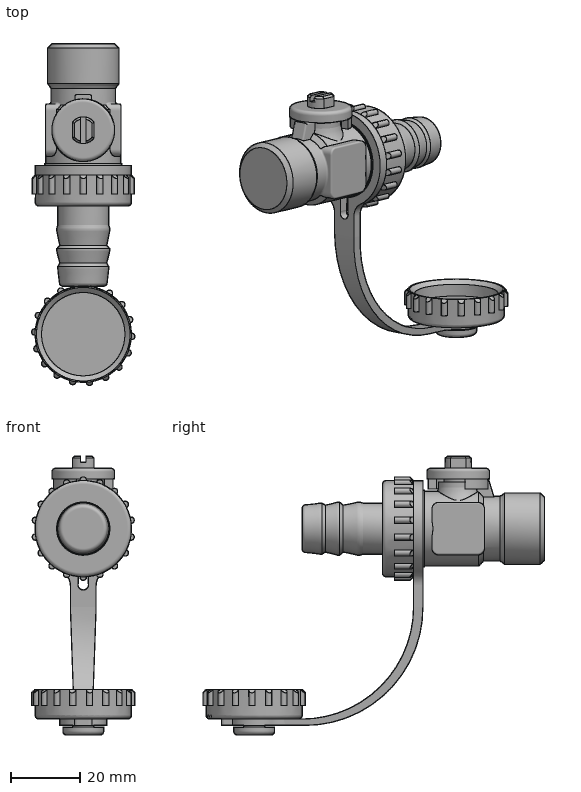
import cadquery as cq
import math


TOLERANCE = 0.01

GRIP_R = 14.0
GRIP_EDGE = 1.1
RIB_COUNT = 18
RIB_R = 0.94
RIB_CIRCLE_R = 14.1

RING_BACK_Y = -10.2
RING_T = 2.8
RING_FRONT_Y = RING_BACK_Y - RING_T

INLET_END_Y = 25.0
INLET_R = 10.4
INLET_CHAMFER = 1.3
INLET_BACK_Y = 13.5
INLET_CONE_Y = 12.8
INLET_CONE_R = 9.8
NECK_Y = 12.1
NECK_R = 9.4
BODY_CONE_Y = 7.3
BODY_Y = 5.9
BODY_R = 10.9
COLLAR_R = 11.2
COLLAR_T = 0.5

PAD_SPAN_X = 21.9
PAD_SIZE = 15.2
PAD_CORNER_R = 2.0
PAD_EDGE_R = 0.5
PAD_ROOT_R = 0.5

NUT_LENGTH = 9.0
NUT_RIB_LENGTH = 5.5
NUT_RIB_PHASE = 90
NUT_END_Y = RING_FRONT_Y - NUT_LENGTH

TAIL_R = 7.4
BARB_R = 7.7
LAST_BARB_R = 7.4
BARB_ROOT_R = 6.8
BARB_LAND = 0.6
BARB_1_Y = -28.5
BARB_2_Y = -34.35
BARB_3_Y = -39.5
BARB_RISE = 1.0
TAIL_END_Y = -45.2
TAIL_EDGE = 1.1

SEAT_R = 5.7
SEAT_TOP_Z = 13.6
SEAT_FLARE_Z = 11.9
SEAT_FOOT_R = 7.5
SEAT_FOOT_Z = 7.7
SEAT_FLARE_SAG = 0.3
STEM_R = 4.1
KNOB_R = 9.1
KNOB_BOTTOM_Z = 14.5
KNOB_TOP_Z = 17.5
KNOB_EDGE = 1.1
SKIRT_OUTER_R = 8.9
SKIRT_INNER_R = 6.5
SKIRT_DEPTH = 3.0
SKIRT_INSET = 2.0
KEY_R = 3.9
KEY_FLATS = 6.3
KEY_TOP_Z = 21.0
KEY_EDGE = 0.6
KEY_SLOT_W = 1.6
KEY_SLOT_DEPTH = 1.7

LUG_W = 4.8
LUG_FRONT_Y = 3.5
LUG_TOP_BACK_Y = 8.9
LUG_FOOT_BACK_Y = 10.3
LUG_TOP_Z = 14.1
LUG_EDGE_R = 0.5

LID_Y = -59.1
LID_TOP_Z = -46.5
LID_HEIGHT = 8.6
LID_RIB_LENGTH = 4.8
LID_RIB_PHASE = -2.6
LID_BORE_R = 12.1
LID_BORE_DEPTH = 4.7
LID_LIP_R = 13.6
LID_LIP_DEPTH = 1.2
LID_BOTTOM_Z = LID_TOP_Z - LID_HEIGHT

PLATE_T = 1.9
PLATE_R = 6.8
PLATE_BOTTOM_Z = LID_BOTTOM_Z - PLATE_T
PLATE_FILLET = 5.7
TAB_REACH = 9.5
TAB_CORNER_R = 1.0
RIVET_NECK_R = 3.1
RIVET_NECK_H = 0.5
RIVET_HEAD_R = 5.9
RIVET_HEAD_H = 2.3
RIVET_EDGE = 1.1

BEND_TOP_Z = -22.8
STRAP_HALF_W = 3.8
STRAP_END_HALF_W = 2.6
RING_FILLET = 4.4
SLOT_W = 2.8
SLOT_EYE_R = 1.5
SLOT_EYE_Z = -16.2


def grip_rim(height, rib_length, phase):
    """Ribbed disc about local Z, from z = -height (rounded edge) up to z = 0."""
    disc = cq.Workplane("XY").circle(GRIP_R).extrude(-height).faces("<Z").edges().fillet(GRIP_EDGE)
    ribs = (
        cq.Workplane("XY")
        .polarArray(RIB_CIRCLE_R, phase, 360, RIB_COUNT)
        .circle(RIB_R)
        .extrude(-rib_length)
    )
    rib_tip_r = RIB_CIRCLE_R + RIB_R
    sloped_tips = (
        cq.Workplane("XY").circle(rib_tip_r).extrude(-rib_length)
        .faces(">Z").edges().chamfer(rib_tip_r - GRIP_R)
    )
    return disc.union(ribs.intersect(sloped_tips))


def turned_body():
    """Inlet, neck, body and the core that carries the strap ring."""
    outline = [
        (0, INLET_END_Y),
        (INLET_R - INLET_CHAMFER, INLET_END_Y),
        (INLET_R, INLET_END_Y - INLET_CHAMFER),
        (INLET_R, INLET_BACK_Y),
        (INLET_CONE_R, INLET_CONE_Y),
        (NECK_R, NECK_Y),
        (NECK_R, BODY_CONE_Y),
        (BODY_R, BODY_Y),
        (BODY_R, RING_BACK_Y + COLLAR_T),
        (COLLAR_R, RING_BACK_Y + COLLAR_T),
        (COLLAR_R, RING_BACK_Y),
        (BODY_R, RING_BACK_Y),
        (BODY_R, RING_FRONT_Y),
        (0, RING_FRONT_Y),
    ]
    return cq.Workplane("XY").polyline(outline).close().revolve(360, (0, 0, 0), (0, 1, 0))


def side_pads():
    """Block across the body whose two ends are the flat pads."""
    return (
        cq.Workplane("XY")
        .box(PAD_SPAN_X, PAD_SIZE, PAD_SIZE)
        .edges("|X").fillet(PAD_CORNER_R)
        .faces("<X or >X").edges().fillet(PAD_EDGE_R)
    )


def body_with_pads():
    body = turned_body().union(side_pads())
    neck_arcs = body.edges("%CIRCLE").filter(lambda edge: abs(edge.Center().y - PAD_SIZE / 2) < TOLERANCE)
    return neck_arcs.fillet(PAD_ROOT_R)


def hose_tail():
    outline = [(0, NUT_END_Y), (TAIL_R, NUT_END_Y), (TAIL_R, BARB_1_Y + BARB_RISE)]
    for crest_y, crest_r, next_root_y in (
        (BARB_1_Y, BARB_R, BARB_2_Y + BARB_RISE),
        (BARB_2_Y, BARB_R, BARB_3_Y + BARB_RISE),
        (BARB_3_Y, LAST_BARB_R, TAIL_END_Y),
    ):
        outline.append((crest_r, crest_y))
        outline.append((crest_r, crest_y - BARB_LAND))
        outline.append((BARB_ROOT_R, next_root_y))
    outline.append((0, TAIL_END_Y))
    tail = cq.Workplane("XY").polyline(outline).close().revolve(360, (0, 0, 0), (0, 1, 0))
    return tail.faces("<Y").edges().fillet(TAIL_EDGE)


def knob_seat():
    """Flared seat on the body with the knob stem above it."""
    flare_mid = ((SEAT_R + SEAT_FOOT_R) / 2 - SEAT_FLARE_SAG, (SEAT_FLARE_Z + SEAT_FOOT_Z) / 2)
    return (
        cq.Workplane("XZ")
        .lineTo(SEAT_FOOT_R, 0)
        .lineTo(SEAT_FOOT_R, SEAT_FOOT_Z)
        .threePointArc(flare_mid, (SEAT_R, SEAT_FLARE_Z))
        .lineTo(SEAT_R, SEAT_TOP_Z)
        .lineTo(STEM_R, SEAT_TOP_Z)
        .lineTo(STEM_R, KNOB_BOTTOM_Z)
        .lineTo(0, KNOB_BOTTOM_Z)
        .close()
        .revolve(360, (0, 0, 0), (0, 1, 0))
    )


def knob_skirts():
    """Two stop skirts under the knob, in opposite quadrants."""
    ring = (
        cq.Workplane("XY", origin=(0, 0, KNOB_BOTTOM_Z - SKIRT_DEPTH))
        .circle(SKIRT_OUTER_R).circle(SKIRT_INNER_R).extrude(SKIRT_DEPTH)
    )
    centre = SKIRT_INSET + KNOB_R / 2
    quadrants = (
        cq.Workplane("XY")
        .pushPoints([(centre, centre), (-centre, -centre)])
        .rect(KNOB_R, KNOB_R)
        .extrude(KNOB_TOP_Z)
    )
    return ring.intersect(quadrants)


def knob():
    disc = (
        cq.Workplane("XY", origin=(0, 0, KNOB_BOTTOM_Z))
        .circle(KNOB_R).extrude(KNOB_TOP_Z - KNOB_BOTTOM_Z)
        .faces(">Z").edges().fillet(KNOB_EDGE)
    )
    key_height = KEY_TOP_Z - KNOB_TOP_Z
    key_base = cq.Workplane("XY", origin=(0, 0, KNOB_TOP_Z))
    key = key_base.circle(KEY_R).extrude(key_height)
    key = key.intersect(key_base.rect(KEY_FLATS, 2 * KEY_R).extrude(key_height))
    key = key.faces(">Z").edges().chamfer(KEY_EDGE)
    slot = (
        cq.Workplane("XY", origin=(0, 0, KEY_TOP_Z - KEY_SLOT_DEPTH))
        .rect(KEY_SLOT_W, 2 * KEY_R).extrude(KEY_SLOT_DEPTH)
    )
    return disc.union(key.cut(slot)).union(knob_skirts())


def stop_lug():
    return (
        cq.Workplane("YZ")
        .polyline([
            (LUG_FRONT_Y, 0),
            (LUG_FRONT_Y, LUG_TOP_Z),
            (LUG_TOP_BACK_Y, LUG_TOP_Z),
            (LUG_FOOT_BACK_Y, NECK_R),
            (LUG_FOOT_BACK_Y, 0),
        ])
        .close()
        .extrude(LUG_W / 2, both=True)
        .faces("<X or >X").edges().fillet(LUG_EDGE_R)
    )


def make_valve():
    nut = (
        grip_rim(NUT_LENGTH, NUT_RIB_LENGTH, NUT_RIB_PHASE)
        .rotate((0, 0, 0), (1, 0, 0), -90)
        .translate((0, RING_FRONT_Y, 0))
    )
    valve = body_with_pads()
    for feature in (nut, hose_tail(), knob_seat(), stop_lug(), knob()):
        valve = valve.union(feature)
    return valve


def strap_ring():
    """Ring with the root of the strap flared into it, as a plate in the XZ plane."""
    plane = cq.Workplane("XZ", origin=(0, RING_BACK_Y, 0))
    ring = plane.circle(GRIP_R).extrude(RING_T)
    flare_x = STRAP_HALF_W + RING_FILLET
    flare_z = -math.sqrt((GRIP_R + RING_FILLET) ** 2 - flare_x ** 2)
    touch = GRIP_R / (GRIP_R + RING_FILLET)
    touch_x = flare_x * touch
    touch_z = flare_z * touch
    root = (
        plane.moveTo(-touch_x, touch_z)
        .lineTo(touch_x, touch_z)
        .radiusArc((STRAP_HALF_W, flare_z), -RING_FILLET)
        .lineTo(STRAP_HALF_W, BEND_TOP_Z)
        .lineTo(-STRAP_HALF_W, BEND_TOP_Z)
        .lineTo(-STRAP_HALF_W, flare_z)
        .radiusArc((-touch_x, touch_z), -RING_FILLET)
        .close()
        .extrude(RING_T)
    )
    bore = plane.circle(BODY_R).extrude(RING_T)
    eye = plane.center(0, SLOT_EYE_Z).circle(SLOT_EYE_R).extrude(RING_T)
    slot = plane.center(0, SLOT_EYE_Z / 2).rect(SLOT_W, -SLOT_EYE_Z).extrude(RING_T)
    return ring.union(root).cut(bore).cut(eye).cut(slot)


def strap_bend():
    """Quarter bend from the vertical root to the plate, thinning and narrowing on the way."""
    outer_r = BEND_TOP_Z - PLATE_BOTTOM_Z
    inner_r = BEND_TOP_Z - LID_BOTTOM_Z
    band = (
        cq.Workplane("YZ")
        .moveTo(RING_FRONT_Y, BEND_TOP_Z)
        .lineTo(RING_BACK_Y, BEND_TOP_Z)
        .radiusArc((RING_BACK_Y - outer_r, PLATE_BOTTOM_Z), outer_r)
        .lineTo(LID_Y, PLATE_BOTTOM_Z)
        .lineTo(LID_Y, LID_BOTTOM_Z)
        .lineTo(RING_FRONT_Y - inner_r, LID_BOTTOM_Z)
        .radiusArc((RING_FRONT_Y, BEND_TOP_Z), -inner_r)
        .close()
        .extrude(STRAP_HALF_W, both=True)
    )
    taper = (
        cq.Workplane("XZ")
        .polyline([
            (-STRAP_HALF_W, BEND_TOP_Z),
            (STRAP_HALF_W, BEND_TOP_Z),
            (STRAP_END_HALF_W, PLATE_BOTTOM_Z),
            (-STRAP_END_HALF_W, PLATE_BOTTOM_Z),
        ])
        .close()
        .extrude(-LID_Y)
    )
    return band.intersect(taper)


def end_plate():
    """Round plate under the lid with a tab at the far side and flared corners at the strap."""
    plane = cq.Workplane("XY", origin=(0, LID_Y, PLATE_BOTTOM_Z))
    tab = (
        plane.center(0, -TAB_REACH / 2)
        .rect(2 * STRAP_END_HALF_W, TAB_REACH)
        .extrude(PLATE_T)
        .edges("|Z and <Y").fillet(TAB_CORNER_R)
    )
    flare_x = STRAP_END_HALF_W + PLATE_FILLET
    flare_y = math.sqrt((PLATE_R + PLATE_FILLET) ** 2 - flare_x ** 2)
    touch = PLATE_R / (PLATE_R + PLATE_FILLET)
    touch_x = flare_x * touch
    touch_y = flare_y * touch
    flare = (
        plane.moveTo(-touch_x, touch_y)
        .lineTo(touch_x, touch_y)
        .radiusArc((STRAP_END_HALF_W, flare_y), PLATE_FILLET)
        .lineTo(-STRAP_END_HALF_W, flare_y)
        .radiusArc((-touch_x, touch_y), PLATE_FILLET)
        .close()
        .extrude(PLATE_T)
    )
    return plane.circle(PLATE_R).extrude(PLATE_T).union(tab).union(flare)


def rivet():
    neck_bottom_z = PLATE_BOTTOM_Z - RIVET_NECK_H
    neck = (
        cq.Workplane("XY", origin=(0, LID_Y, neck_bottom_z))
        .circle(RIVET_NECK_R).extrude(RIVET_NECK_H)
    )
    head = (
        cq.Workplane("XY", origin=(0, LID_Y, neck_bottom_z))
        .circle(RIVET_HEAD_R).extrude(-RIVET_HEAD_H)
        .faces("<Z").edges().fillet(RIVET_EDGE)
    )
    return neck.union(head)


def lid():
    cavity = (
        cq.Workplane("XZ")
        .polyline([
            (0, 0),
            (LID_LIP_R, 0),
            (LID_BORE_R, -LID_LIP_DEPTH),
            (LID_BORE_R, -LID_BORE_DEPTH),
            (0, -LID_BORE_DEPTH),
        ])
        .close()
        .revolve(360, (0, 0, 0), (0, 1, 0))
    )
    cap = grip_rim(LID_HEIGHT, LID_RIB_LENGTH, LID_RIB_PHASE).cut(cavity)
    return cap.translate((0, LID_Y, LID_TOP_Z))


def make_strap_with_lid():
    strap = strap_ring()
    for feature in (strap_bend(), end_plate(), rivet(), lid()):
        strap = strap.union(feature)
    return strap


valve = make_valve()
strap_with_lid = make_strap_with_lid()

result = cq.Compound.makeCompound([valve.solids().val(), strap_with_lid.solids().val()])